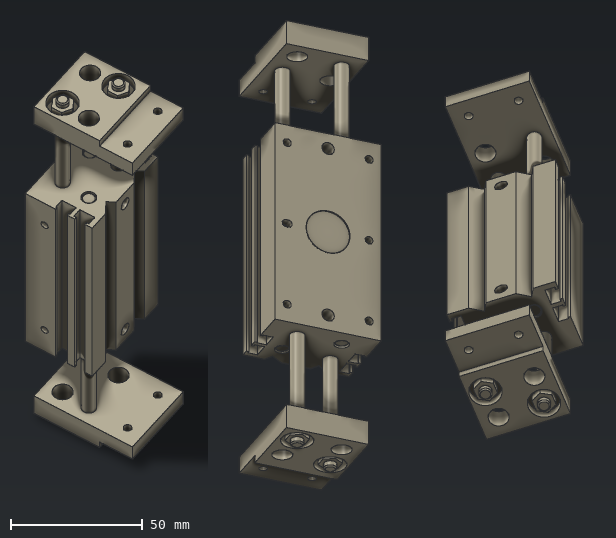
import cadquery as cq
import math

overall_length = 180.0
housing_width = 31.0
housing_depth = 44.0
housing_length = 85.0

rod_diameter = 6.0
rod_end_chamfer = 0.5
rod_end_recess = 0.5
outer_rod = (8.5, -9.2)
inner_rod = (21.0, 9.9)
rod_places = [outer_rod, inner_rod]
opposite_rod_places = [(x, -y) for x, y in rod_places]

plate_inset = 0.5
plate_reach = 46.0
plate_depth = 34.0
plate_thickness = 10.0
plate_bottom = 78.0
step_height = 3.0
clearance_diameter = 8.0

nut_flats = 8.1
nut_recess_diameter = 12.6
nut_recess_depth = 4.3
nut_height = 4.0
thread_diameter = 5.0
thread_chamfer = 0.5

tapped_diameter = 3.2
tapped_depth = 6.0
leg_hole_x = 39.0
leg_hole_y = 10.0

side_slots = [(14.0, 19.5, 0.5), (22.9, 27.5, 1.0)]
side_slot_depth = 5.0
lip_thickness = 1.0

sensor_groove_y = 9.5
sensor_groove_width = 7.0
sensor_groove_depth = 3.5
sensor_groove_skew = 1.6

mount_hole_y = 17.0
mount_hole_z = 35.0
through_hole_diameter = 5.0
through_hole_z = 36.0
locating_diameter = 3.0
locating_slot_length = 4.0
locating_depth = 4.0
locating_recess_diameter = 18.0
locating_recess_depth = 0.5
port_x = 9.0
port_z = 30.0
port_depth = 6.0

half_housing = housing_length / 2
half_depth = housing_depth / 2
plate_top = plate_bottom + plate_thickness
rod_end_z = half_housing - rod_end_recess
nut_seat_z = plate_top - nut_recess_depth


def cut_side_slots(body):
    """Lipped slots running the full length of both Y sides."""
    for side in (-1, 1):
        face_y = side * half_depth
        lip_y = side * (half_depth - lip_thickness)
        floor_y = side * (half_depth - side_slot_depth)
        for start, end, overhang in side_slots:
            slot = (
                cq.Workplane("XY", origin=(0, 0, -half_housing))
                .moveTo(start, face_y)
                .lineTo(start, lip_y)
                .lineTo(start - overhang, lip_y)
                .lineTo(start - overhang, floor_y)
                .lineTo(end + overhang, floor_y)
                .lineTo(end + overhang, lip_y)
                .lineTo(end, lip_y)
                .lineTo(end, face_y)
                .close()
                .extrude(housing_length)
            )
            body = body.cut(slot)
    return body


def cut_sensor_grooves(body):
    """Two V grooves along the +X side, each with its valley skewed toward +Y."""
    for y in (-sensor_groove_y, sensor_groove_y):
        groove = (
            cq.Workplane("XY", origin=(0, 0, -half_housing))
            .moveTo(housing_width, y - sensor_groove_width / 2)
            .lineTo(housing_width - sensor_groove_depth, y + sensor_groove_skew)
            .lineTo(housing_width, y + sensor_groove_width / 2)
            .close()
            .extrude(housing_length)
        )
        body = body.cut(groove)
    return body


def cut_rod_bores(body):
    bores = (
        cq.Workplane("XY", origin=(0, 0, -half_housing))
        .pushPoints(rod_places + opposite_rod_places)
        .circle(rod_diameter / 2)
        .extrude(housing_length)
    )
    return body.cut(bores)


def cut_mounting_features(body):
    """Fixing holes, locating features and round recess in the X = 0 face."""
    face = cq.Workplane("YZ")
    corners = [(y, z) for y in (-mount_hole_y, mount_hole_y) for z in (-mount_hole_z, mount_hole_z)]
    tapped = face.pushPoints(corners).circle(tapped_diameter / 2).extrude(tapped_depth)
    through = (
        face.pushPoints([(0, -through_hole_z), (0, through_hole_z)])
        .circle(through_hole_diameter / 2)
        .extrude(housing_width)
    )
    locating_hole = face.center(-mount_hole_y, 0).circle(locating_diameter / 2).extrude(locating_depth)
    locating_slot = (
        face.center(mount_hole_y, 0).slot2D(locating_slot_length, locating_diameter).extrude(locating_depth)
    )
    recess = face.circle(locating_recess_diameter / 2).extrude(locating_recess_depth)
    return body.cut(tapped).cut(through).cut(locating_hole).cut(locating_slot).cut(recess)


def cut_ports(body):
    """Two blind holes in the -Y side."""
    ports = (
        cq.Workplane("XZ", origin=(0, -half_depth, 0))
        .pushPoints([(port_x, -port_z), (port_x, port_z)])
        .circle(tapped_diameter / 2)
        .extrude(-port_depth)
    )
    return body.cut(ports)


def make_housing():
    body = cq.Workplane("XY").box(housing_width, housing_depth, housing_length, centered=(False, True, True))
    body = cut_side_slots(body)
    body = cut_sensor_grooves(body)
    body = cut_rod_bores(body)
    body = cut_mounting_features(body)
    return cut_ports(body)


def make_end_plate():
    """Stepped plate with nut recesses, clearance holes and two fixing holes in its thin leg."""
    plate = (
        cq.Workplane("XZ")
        .moveTo(plate_inset, plate_bottom)
        .lineTo(plate_reach, plate_bottom)
        .lineTo(plate_reach, plate_top - step_height)
        .lineTo(housing_width, plate_top - step_height)
        .lineTo(housing_width, plate_top)
        .lineTo(plate_inset, plate_top)
        .close()
        .extrude(plate_depth / 2, both=True)
    )
    underside = cq.Workplane("XY", origin=(0, 0, plate_bottom))
    clearance = (
        underside.pushPoints(opposite_rod_places).circle(clearance_diameter / 2).extrude(plate_thickness)
    )
    leg_holes = (
        underside.pushPoints([(leg_hole_x, -leg_hole_y), (leg_hole_x, leg_hole_y)])
        .circle(tapped_diameter / 2)
        .extrude(plate_thickness)
    )
    nut_recesses = (
        cq.Workplane("XY", origin=(0, 0, nut_seat_z))
        .pushPoints(rod_places)
        .circle(nut_recess_diameter / 2)
        .extrude(nut_recess_depth)
    )
    return plate.cut(clearance).cut(leg_holes).cut(nut_recesses)


def make_rod(x, y):
    """Guide rod with its threaded end and nut, reaching from the far end of the housing."""
    shaft = (
        cq.Workplane("XY", origin=(x, y, -rod_end_z))
        .circle(rod_diameter / 2)
        .extrude(rod_end_z + plate_bottom)
        .faces("<Z")
        .chamfer(rod_end_chamfer)
    )
    thread = (
        cq.Workplane("XY", origin=(x, y, plate_bottom))
        .circle(thread_diameter / 2)
        .extrude(overall_length / 2 - plate_bottom)
        .faces(">Z")
        .chamfer(thread_chamfer)
    )
    nut = (
        cq.Workplane("XY", origin=(x, y, nut_seat_z))
        .polygon(6, nut_flats / math.cos(math.pi / 6))
        .extrude(nut_height)
    )
    return shaft.union(thread).union(nut)


def make_slide():
    """One end plate joined to its two diagonally placed guide rods, at the +Z end."""
    slide = make_end_plate()
    for x, y in rod_places:
        slide = slide.union(make_rod(x, y))
    return slide


housing = make_housing()

slides = [make_slide().rotate((0, 0, 0), (1, 0, 0), angle) for angle in (0, 180)]

result = cq.Compound.makeCompound([housing.val(), *[slide.val() for slide in slides]])